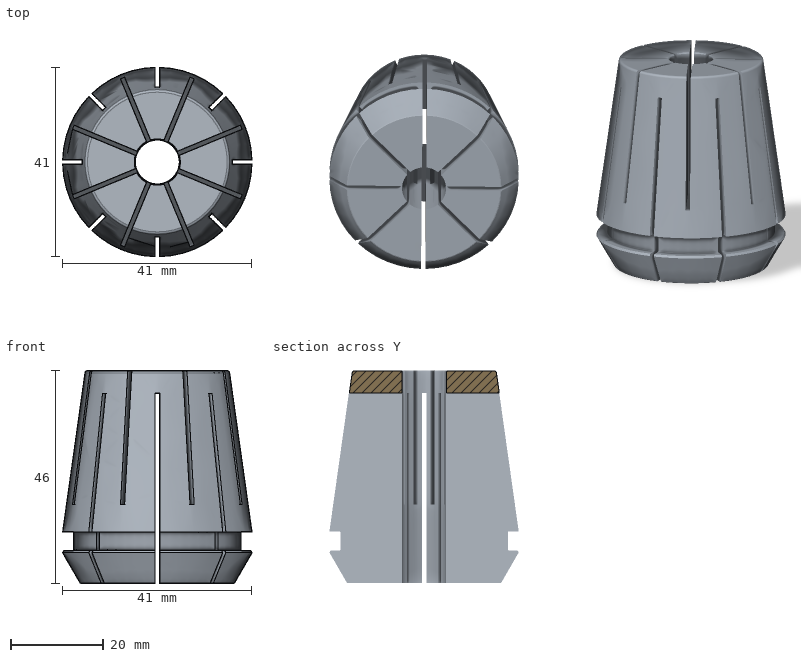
import cadquery as cq
import math

height = 46.0
outer_diameter = 41.0
outer_radius = outer_diameter / 2

bore_diameter = 9.5
bore_chamfer = 0.25
bore_chamfer_diameter = bore_diameter + 2 * bore_chamfer
bore_chamfer_angle = 90

nose_angle = 30
nose_edge_height = 6.62
nose_rim_height = 7.1
nose_rim_radius = 20.2
nose_radius = outer_radius - nose_edge_height * math.tan(math.radians(nose_angle))
nose_bottom_chamfer = 0.15

groove_top = 11.15
groove_radius = 18.12
groove_fillet = 0.2

taper_angle = 8
top_radius = outer_radius - (height - groove_top) * math.tan(math.radians(taper_angle))
top_fillet = 0.55

slot_count = 8
slot_width = 0.95
lower_slot_end = 41.12
upper_slot_end = 17.0
slot_pitch = 360 / slot_count


def collet_body():
    """Solid of revolution about Z, without the groove."""
    half_profile = [
        (0, 0),
        (nose_radius, 0),
        (outer_radius, nose_edge_height),
        (nose_rim_radius, nose_rim_height),
        (nose_rim_radius, groove_top),
        (outer_radius, groove_top),
        (top_radius, height),
        (0, height),
    ]
    body = cq.Workplane("XZ").polyline(half_profile).close().revolve(360, (0, 0), (0, 1))
    body = body.faces(">Z").edges().fillet(top_fillet)
    return body.faces("<Z").edges().chamfer(nose_bottom_chamfer)


def groove_ring():
    """Ring cut from the body; its rounded inner edges leave fillets at the groove floor."""
    ring = cq.Workplane("XY", origin=(0, 0, nose_rim_height))
    ring = ring.circle(outer_radius).circle(groove_radius).extrude(groove_top - nose_rim_height)
    return ring.edges(cq.selectors.RadiusNthSelector(0)).fillet(groove_fillet)


def slot_blades(bottom, top, first_angle):
    """Star of flat blades through the axis; each blade makes two opposite slots."""
    blade = (
        cq.Workplane("XY", origin=(0, 0, bottom))
        .rect(2 * outer_diameter, slot_width)
        .extrude(top - bottom)
    )
    star = cq.Workplane("XY")
    for index in range(slot_count // 2):
        angle = first_angle + index * slot_pitch
        star = star.union(blade.rotate((0, 0, 0), (0, 0, 1), angle))
    return star


result = collet_body().cut(groove_ring())
result = result.faces(">Z").workplane().cskHole(bore_diameter, bore_chamfer_diameter, bore_chamfer_angle)
result = result.cut(slot_blades(0, lower_slot_end, 0))
result = result.cut(slot_blades(upper_slot_end, height, slot_pitch / 2))